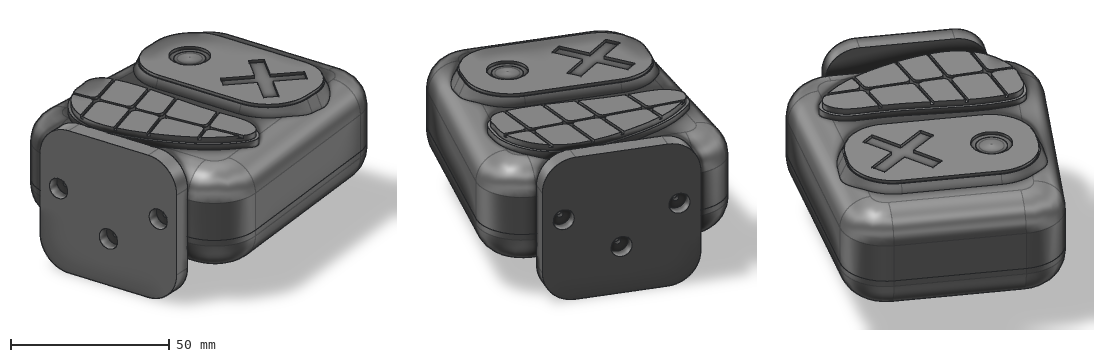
import cadquery as cq
import math


housing_width = 82.5
housing_length = 95.0
housing_height = 35.0
corner_radius = 14.9
edge_radius = 10.0
rear_corner_x = 21.2
front_corner_x = housing_width / 2 - corner_radius
parting_z = 12.0

plate_width = 2 * front_corner_x
plate_thickness = 6.0
plate_bottom_z = -10.0
plate_height = 50.0
plate_corner_radius = 11.0
screw_bore = 2.0
screw_head_bore = 7.0
screw_head_depth = 4.0
screw_depth_in_shell = 6.1
screw_places = [(-19.2, 18.6), (19.2, 18.6), (0, 6.3)]

step = 1.0
frame_top_z = 38.0
face_top_z = frame_top_z + step
mouth_base_top_z = frame_top_z - step

eye_y = 61.8
eye_core_length = 32.0
eye_core_width = 5.0
frame_radius = 14.9
frame_flare_angle = 25.0
frame_depth = 10.1
eye_plate_radius = 14.5
pupil_x = -eye_core_length / 2
pupil_opening = 13.2
cross_x = 12.5
cross_length = 27.0
cross_bar_width = 5.0

pupil_diameter = 10.0
pupil_socket_diameter = 10.2
pupil_thickness = 3.0
cone_base_diameter = 8.0
cone_tip_diameter = 0.3
cone_height = 0.5

mouth_base_depth = 12.1
lip_width = 1.0
teeth_outline_points = 40
mouth_points = [
    (-33.1, 26.8),
    (-30.1, 33.9),
    (-24.7, 35.5),
    (-6.6, 35.6),
    (17.2, 34.7),
    (30.1, 33.0),
    (33.3, 28.6),
    (30.5, 22.9),
    (12.3, 10.5),
    (-4.7, 5.0),
    (-13.1, 4.4),
    (-20.2, 6.2),
    (-26.3, 10.1),
    (-31.3, 17.2),
]
groove_width = 1.0
groove_depth = 1.0
tooth_corner_radius = 1.8
gum_line_y = 21.3
gum_line_slope = 0.09
tooth_gaps = [(-22.2, 0.24), (-9.3, 0.25), (1.6, 0.28), (17.8, 0.30)]
gap_length = 60.6
gum_line_length = 90.9
crossing_reach_x = 30.3
crossing_reach_y = 5.0


def rounded_rectangle(core_length, core_width, radius):
    """Sketch of a core rectangle grown outwards by a radius, with corners of that radius."""
    return (
        cq.Sketch()
        .rect(core_length + 2 * radius, core_width + 2 * radius)
        .vertices()
        .fillet(radius)
    )


def housing_blank():
    """Tapered box with round corners and round top and bottom edges."""
    corner_spacing = housing_length - 2 * corner_radius
    half_square = math.radians(45)
    half_lean = math.atan((front_corner_x - rear_corner_x) / corner_spacing) / 2
    front_x = front_corner_x + corner_radius * math.tan(half_square + half_lean)
    rear_x = rear_corner_x + corner_radius * math.tan(half_square - half_lean)
    outline = [
        (-front_x, 0),
        (front_x, 0),
        (rear_x, housing_length),
        (-rear_x, housing_length),
    ]
    return (
        cq.Workplane("XY")
        .polyline(outline)
        .close()
        .extrude(housing_height)
        .edges("not(#Z)")
        .fillet(corner_radius)
        .faces("<Z or >Z")
        .edges()
        .fillet(edge_radius)
    )


def below_parting():
    """Block that covers everything below the parting plane."""
    return cq.Workplane("XY").box(
        2 * housing_width, 2 * housing_length, parting_z, centered=(True, True, False)
    )


def plate_holes(diameter, start_y, depth):
    """Cylinders along +Y at the three screw places."""
    return (
        cq.Workplane("XZ", origin=(0, start_y, 0))
        .pushPoints(screw_places)
        .circle(diameter / 2)
        .extrude(-depth)
    )


def mouth_outline(z):
    """Closed smooth mouth wire on a plane at height z."""
    return cq.Workplane("XY", origin=(0, 0, z)).spline(mouth_points, periodic=True).close()


def teeth_outline(z):
    """Mouth outline moved inwards by the lip width; the outline runs clockwise seen from above."""
    mouth = mouth_outline(z).val()
    upwards = cq.Vector(0, 0, 1)
    inset_points = []
    for index in range(teeth_outline_points):
        fraction = index / teeth_outline_points
        inwards = mouth.tangentAt(fraction).cross(upwards)
        inset_points.append(mouth.positionAt(fraction) + inwards * lip_width)
    edge = cq.Edge.makeSpline(inset_points, periodic=True)
    return cq.Workplane("XY", origin=(0, 0, z)).add(cq.Wire.assembleEdges([edge])).toPending()


def eye_frame():
    """Rounded frame that flares outwards as it goes down into the housing."""
    return (
        cq.Workplane("XY", origin=(0, eye_y, frame_top_z))
        .placeSketch(rounded_rectangle(eye_core_length, eye_core_width, frame_radius))
        .extrude(-frame_depth, taper=-frame_flare_angle)
    )


def pupil_cylinder(diameter, bottom_z, height):
    """Upright cylinder on the pupil axis."""
    return (
        cq.Workplane("XY", origin=(pupil_x, eye_y, bottom_z))
        .circle(diameter / 2)
        .extrude(height)
    )


def make_front_shell():
    """Upper housing half with the eye frame, the mouth base and the pupil socket."""
    mouth_base = mouth_outline(mouth_base_top_z).extrude(-mouth_base_depth)
    socket = pupil_cylinder(pupil_socket_diameter, frame_top_z - pupil_thickness, pupil_thickness)
    return (
        housing_blank()
        .cut(below_parting())
        .union(eye_frame())
        .union(mouth_base)
        .cut(socket)
        .cut(plate_holes(screw_bore, 0, screw_depth_in_shell))
    )


def make_back_shell():
    """Lower housing half with a squared-out foot that meets the wall plate."""
    foot = (
        cq.Workplane("XY")
        .box(plate_width, corner_radius, parting_z, centered=(True, False, False))
        .edges("|Y and <Z")
        .fillet(edge_radius)
    )
    return (
        housing_blank()
        .intersect(below_parting())
        .union(foot)
        .cut(plate_holes(screw_bore, 0, screw_depth_in_shell))
    )


def make_wall_plate():
    """Rounded plate with three counterbored screw holes."""
    return (
        cq.Workplane("XY", origin=(0, -plate_thickness, plate_bottom_z))
        .box(plate_width, plate_thickness, plate_height, centered=(True, False, False))
        .edges("|Y")
        .fillet(plate_corner_radius)
        .cut(plate_holes(screw_bore, -plate_thickness, plate_thickness))
        .cut(plate_holes(screw_head_bore, -plate_thickness, screw_head_depth))
    )


def make_eye_plate():
    """Thin plate on the frame, open around the pupil and at the diagonal cross."""
    plate = (
        cq.Workplane("XY", origin=(0, eye_y, frame_top_z))
        .placeSketch(rounded_rectangle(eye_core_length, eye_core_width, eye_plate_radius))
        .extrude(step)
        .cut(pupil_cylinder(pupil_opening, frame_top_z, step))
    )
    for angle in (45, -45):
        bar = (
            cq.Workplane("XY")
            .box(cross_length, cross_bar_width, step, centered=(True, True, False))
            .rotate((0, 0, 0), (0, 0, 1), angle)
            .translate((cross_x, eye_y, frame_top_z))
        )
        plate = plate.cut(bar)
    return plate


def make_pupil():
    """Disc that fills the socket depth, with a shallow cone on top."""
    disc = pupil_cylinder(pupil_diameter, frame_top_z - pupil_thickness, pupil_thickness)
    cone = cq.Solid.makeCone(
        cone_base_diameter / 2,
        cone_tip_diameter / 2,
        cone_height,
        pnt=cq.Vector(pupil_x, eye_y, frame_top_z),
    )
    return disc.union(cq.Workplane(cone))


def groove_bar(length, x, y, angle):
    """Bar as wide as a groove, turned about its middle and flush with the teeth face."""
    return (
        cq.Workplane("XY")
        .box(length, groove_width, groove_depth, centered=(True, True, False))
        .rotate((0, 0, 0), (0, 0, 1), angle)
        .translate((x, y, face_top_z - groove_depth))
    )


def tooth_grooves():
    """Gum line crossed by the leaning tooth gaps, rounded at every crossing."""
    grooves = groove_bar(gum_line_length, 0, gum_line_y, math.degrees(math.atan(gum_line_slope)))
    for x, lean in tooth_gaps:
        y = gum_line_y + gum_line_slope * x
        angle = math.degrees(math.atan2(1, -lean))
        grooves = grooves.union(groove_bar(gap_length, x, y, angle))
    near_gum_line = cq.selectors.BoxSelector(
        (-crossing_reach_x, gum_line_y - crossing_reach_y, 0),
        (crossing_reach_x, gum_line_y + crossing_reach_y, 2 * face_top_z),
    )
    return grooves.edges("|Z").edges(near_gum_line).fillet(tooth_corner_radius)


def make_teeth():
    """Teeth plate, set in from the mouth base by the lip and grooved between the teeth."""
    return (
        teeth_outline(mouth_base_top_z)
        .extrude(face_top_z - mouth_base_top_z)
        .cut(tooth_grooves())
    )


front_shell = make_front_shell()
back_shell = make_back_shell()
wall_plate = make_wall_plate()
eye_plate = make_eye_plate()
pupil = make_pupil()
teeth = make_teeth()

result = cq.Compound.makeCompound(
    [
        front_shell.val(),
        back_shell.val(),
        wall_plate.val(),
        eye_plate.val(),
        pupil.val(),
        teeth.val(),
    ]
)